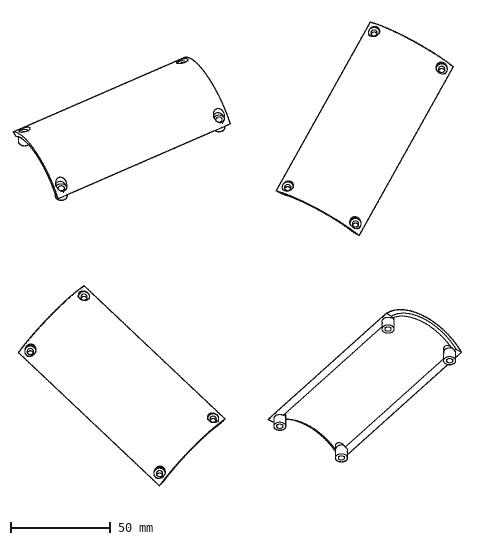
import cadquery as cq

length = 98.15
width = 47.5
crown_height = 11.6
crown_thickness = 2.9
cavity_half_width = 19.4
cavity_height = crown_height - crown_thickness

flare_length = 1.4
flare_size = 1.0

post_diameter = 6.1
post_drop = 5.2
post_spacing_x = 38.7
post_end_inset = 4.1
hole_diameter = 3.1
counterbore_diameter = 5.6
counterbore_floor_z = 1.0

post_spacing_y = length - 2 * post_end_inset


def arch_section(y, half_width, height):
    """Circular arc closed by its straight base chord, in the plane at the given Y."""
    section = cq.Workplane("XZ", origin=(0, y, 0)).moveTo(-half_width, 0)
    return section.threePointArc((0, height), (half_width, 0)).close()


def arch_blank():
    """Solid under the outer arc, running along Y."""
    return arch_section(length / 2, width / 2, crown_height).extrude(length)


def end_flare(side):
    """Flared mouth of the cavity at the -Y (side = -1) or +Y (side = 1) end."""
    end_y = side * length / 2
    inner_y = end_y - side * flare_length
    mouth = arch_section(end_y, cavity_half_width + flare_size, cavity_height + flare_size)
    throat = arch_section(inner_y, cavity_half_width, cavity_height)
    outlines = [mouth.wire().val(), throat.wire().val()]
    return cq.Workplane(cq.Solid.makeLoft(outlines, True))


def cavity():
    """Space under the shell, with both flared ends."""
    space = arch_section(length / 2, cavity_half_width, cavity_height).extrude(length)
    for side in (-1, 1):
        space = space.union(end_flare(side))
    return space


def vertical_cylinders(diameter, bottom_z, top_z):
    """One upright cylinder at every screw position."""
    base = cq.Workplane("XY", origin=(0, 0, bottom_z))
    centers = base.rarray(post_spacing_x, post_spacing_y, 2, 2)
    return centers.circle(diameter / 2).extrude(top_z - bottom_z)


def screw_posts(blank):
    """Posts that end flush with the outer surface of the shell."""
    room_below = cq.Workplane("XY").rect(width, length).extrude(-post_drop)
    posts = vertical_cylinders(post_diameter, -post_drop, crown_height)
    return posts.intersect(blank.union(room_below)).clean()


blank = arch_blank()
screw_holes = vertical_cylinders(hole_diameter, -post_drop, crown_height)
counterbores = vertical_cylinders(counterbore_diameter, counterbore_floor_z, crown_height)

shell = blank.cut(cavity())
result = shell.union(screw_posts(blank)).cut(screw_holes).cut(counterbores)